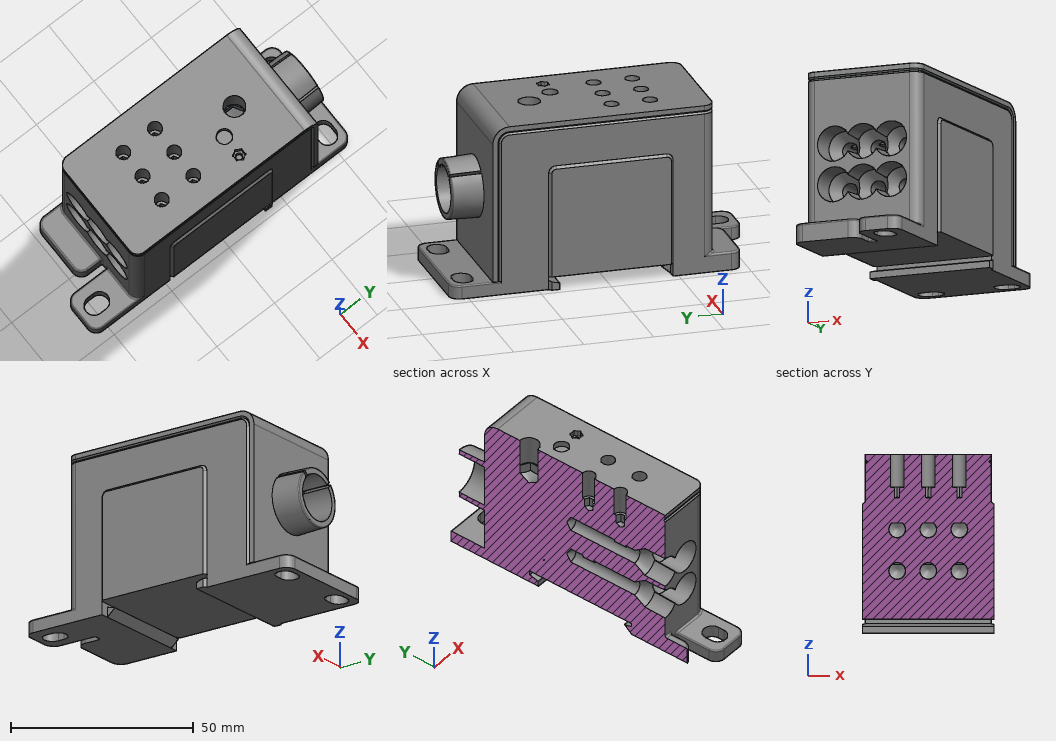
import cadquery as cq
import math


length = 89.5
height = 49.0
body_width = 34.5
body_front = 14.4
body_rear = 77.8
rear_top_radius = 4.7
corner_radius = 2.95

lid_thickness = 1.9
lid_chamfer = 0.45
case_chamfer = 0.5

side_plate_thickness = 0.76
side_plate_front = 26.3
side_plate_rear = 61.8
side_plate_top = 36.1
side_plate_corner = 2.0
side_plate_edge = 0.7

rail_depth = 3.85
rail_front = 26.3
rail_rear = side_plate_rear
rear_hook_reach = 2.95
rear_hook_root_height = 2.7
rear_hook_tip_height = 1.9
front_hook_half_width = 14.8
front_hook_reach = 2.5
front_hook_root_height = 2.95
front_hook_tip_height = 2.2

foot_thickness = rail_depth
foot_edge_radius = 0.4
wide_foot_front = 6.6
wide_foot_right = 2.2
wide_foot_thickness = 5.3
long_foot_left = 4.7
root_fillet = 0.5
foot_overlap = 5.4
selection_margin = 0.1

slot_width = 5.55
slot_length = 7.4
front_slot_x = 10.9
front_slot_y = 5.8
rear_slot_x = 11.5
rear_slot_y = 84.85

collar_height = 25.95
collar_root_diameter = 17.5
collar_end_diameter = 16.9
collar_end = 86.6
collar_bore = 13.5
collar_slit_width = 0.8
collar_edge = 0.3

pitch = 8.5
entry_heights = (28.5, 17.1)
entry_diameter = 9.8
entry_end_diameter = 9.4
entry_depth = 7.2
wire_diameter = 4.5
funnel_depth = 3.6
wire_depth = 22.4

screw_rows = (30.25, 41.3)
screw_hole = 4.0
screw_socket = 2.7
screw_tip_offset = 1.7
main_screw_y = 62.2
main_hole = 6.2
access_depth = 8.95
socket_depth = 2.7
drill_tip_angle = 118.0

marker_x = 5.0
marker_y = 54.8
marker_diameter = 4.5
star_x = 11.55
star_points = 6
star_diameter = 3.7
star_inner_diameter = 2.95
star_pin_hole = 2.0
recess_depth = 1.8

half_width = body_width / 2


def block(x0, x1, y0, y1, z0, z1):
    return cq.Workplane("XY").box(x1 - x0, y1 - y0, z1 - z0, centered=False).translate((x0, y0, z0))


def shell_layer(inset, front, half, bottom=0.0):
    """Housing volume whose top and rear lie `inset` below the outside surface."""
    top = height - inset
    rear = body_rear - inset
    radius = rear_top_radius - inset
    bend = radius * (1 - math.sqrt(0.5))
    layer = (
        cq.Workplane("YZ")
        .moveTo(front, bottom)
        .lineTo(front, top)
        .lineTo(rear - radius, top)
        .threePointArc((rear - bend, top - bend), (rear, top - radius))
        .lineTo(rear, bottom)
        .close()
        .extrude(half, both=True)
    )
    return layer.edges("|Z and <Y").fillet(corner_radius)


def make_housing():
    case = shell_layer(lid_thickness, body_front, half_width)
    case = case.faces(">Z").edges("<Y").chamfer(case_chamfer)
    lid = shell_layer(0.0, body_front, half_width, foot_thickness)
    lid = lid.cut(shell_layer(lid_thickness, body_front - corner_radius, body_width))
    lid = lid.faces("<Y").edges("<Z").chamfer(lid_chamfer)
    return case.union(lid)


def make_side_plates():
    half = half_width + side_plate_thickness
    plate = block(-half, half, side_plate_front, side_plate_rear, rail_depth, side_plate_top)
    plate = plate.edges("|X and >Z").fillet(side_plate_corner)
    rims = plate.faces("<X or >X").edges(">Z")
    return rims.chamfer(side_plate_edge)


def make_foot(x0, x1, y0, y1, thickness, outer_side, edge_radius):
    foot = block(x0, x1, y0, y1, 0, thickness)
    foot = foot.edges("|Z").edges(outer_side).fillet(corner_radius)
    return foot.faces(">Z").edges(outer_side).fillet(edge_radius)


def mounting_slot(x, y, angle):
    return (
        cq.Workplane("XY")
        .center(x, y)
        .slot2D(slot_length, slot_width, angle)
        .extrude(wide_foot_thickness)
    )


def make_hook(profile, half):
    return cq.Workplane("YZ").polyline(profile).close().extrude(half, both=True)


def make_rail_hooks():
    rear_tip = rail_rear - rear_hook_reach
    rear_profile = [
        (rail_rear, 0),
        (rear_tip, 0),
        (rear_tip, rear_hook_tip_height),
        (rail_rear, rear_hook_root_height),
    ]
    front_profile = [
        (rail_front, 0),
        (rail_front + front_hook_reach, front_hook_tip_height),
        (rail_front, front_hook_root_height),
    ]
    rear_hook = make_hook(rear_profile, half_width + side_plate_thickness)
    rear_hook = rear_hook.edges("|Z and >Y").chamfer(side_plate_edge)
    return rear_hook.union(make_hook(front_profile, front_hook_half_width))


def cone(base_radius, tip_radius, depth, origin, direction):
    return cq.Workplane(cq.Solid.makeCone(base_radius, tip_radius, depth, origin, direction))


def cylinder(diameter, depth, origin, direction):
    return cq.Workplane(cq.Solid.makeCylinder(diameter / 2, depth, origin, direction))


def tip_depth(diameter):
    return diameter / 2 / math.tan(math.radians(drill_tip_angle / 2))


def make_collar():
    reach = collar_end - body_rear
    origin = cq.Vector(0, body_rear, collar_height)
    rearward = cq.Vector(0, 1, 0)
    collar = cone(collar_root_diameter / 2, collar_end_diameter / 2, reach, origin, rearward)
    collar = collar.faces(">Y").edges().fillet(collar_edge)
    collar = collar.cut(cylinder(collar_bore, reach, origin, rearward))
    for angle in (-45, 45):
        slit = block(-collar_slit_width / 2, collar_slit_width / 2, 0, reach, 0, collar_root_diameter)
        slit = slit.rotate((0, 0, 0), (0, 1, 0), angle)
        collar = collar.cut(slit.translate(origin.toTuple()))
    return collar


def wire_entry(x, z, screw_y):
    """Drafted entry, funnel and drilled wire bore, with the screw tip left standing in the bore."""
    inward = cq.Vector(0, 1, 0)
    funnel_start = body_front + entry_depth
    bore_start = funnel_start + funnel_depth
    mouth_radius = entry_diameter / 2
    throat_radius = entry_end_diameter / 2
    wire_radius = wire_diameter / 2
    entry = cone(mouth_radius, throat_radius, entry_depth, cq.Vector(x, body_front, z), inward)
    funnel = cone(throat_radius, wire_radius, funnel_depth, cq.Vector(x, funnel_start, z), inward)
    bore = cylinder(wire_diameter, wire_depth, cq.Vector(x, bore_start, z), inward)
    tip_origin = cq.Vector(x, bore_start + wire_depth, z)
    tip = cone(wire_radius, 0, tip_depth(wire_diameter), tip_origin, inward)
    screw_origin = cq.Vector(x, screw_y, z + screw_tip_offset)
    screw = cylinder(screw_hole, wire_radius, screw_origin, cq.Vector(0, 0, 1))
    return entry.union(funnel).union(bore.cut(screw)).union(tip)


def screw_access(x, y, diameter, socket):
    """Round access hole over a hexagon socket (`socket` across corners) with a drilled tip."""
    down = cq.Vector(0, 0, -1)
    seat = height - access_depth
    tip_start = seat - socket_depth
    tip = tip_depth(socket)
    hole = cylinder(diameter, access_depth, cq.Vector(x, y, height), down)
    drilled = cylinder(socket, socket_depth, cq.Vector(x, y, seat), down)
    drilled = drilled.union(cone(socket / 2, 0, tip, cq.Vector(x, y, tip_start), down))
    hexagon = cq.Workplane("XY").polygon(6, socket).extrude(-socket_depth - tip)
    hexagon = hexagon.rotate((0, 0, 0), (0, 0, 1), 30).translate((x, y, seat))
    return hole.union(hexagon.intersect(drilled))


def star_recess():
    surface = cq.Workplane("XY", origin=(star_x, marker_y, height))
    points = []
    for step in range(2 * star_points):
        radius = (star_inner_diameter if step % 2 else star_diameter) / 2
        angle = math.pi * step / star_points
        points.append((radius * math.cos(angle), radius * math.sin(angle)))
    star = surface.polyline(points).close().extrude(-recess_depth)
    return star.union(surface.circle(star_pin_hole / 2).extrude(-2 * recess_depth))


foot_back = body_front + foot_overlap
wide_foot = make_foot(
    -half_width, wide_foot_right, wide_foot_front, foot_back, wide_foot_thickness, "<Y", root_fillet
)
long_foot = make_foot(long_foot_left, half_width, 0, foot_back, foot_thickness, "<Y", foot_edge_radius)
rear_foot = make_foot(-half_width, half_width, rail_rear, length, foot_thickness, ">Y", foot_edge_radius)
result = make_housing().union(wide_foot).union(long_foot).union(rear_foot)

straight_half = half_width - corner_radius + selection_margin
foot_roots = cq.selectors.BoxSelector(
    (-straight_half, body_front - selection_margin, 0),
    (straight_half, body_front + selection_margin, wide_foot_thickness + selection_margin),
)
result = result.edges(foot_roots).fillet(root_fillet)

channel_half = half_width + side_plate_thickness
result = result.cut(block(-channel_half, channel_half, rail_front, rail_rear, 0, rail_depth))
result = result.union(make_side_plates()).union(make_rail_hooks()).union(make_collar())

result = result.cut(mounting_slot(front_slot_x, front_slot_y, 90))
for side in (-1, 1):
    result = result.cut(mounting_slot(side * rear_slot_x, rear_slot_y, 0))

for column in (-1, 0, 1):
    for entry_height, row in zip(entry_heights, screw_rows):
        result = result.cut(wire_entry(column * pitch, entry_height, row))
        result = result.cut(screw_access(column * pitch, row, screw_hole, screw_socket))

result = result.cut(screw_access(0, main_screw_y, main_hole, main_hole))
marker_origin = cq.Vector(marker_x, marker_y, height)
result = result.cut(cylinder(marker_diameter, recess_depth, marker_origin, cq.Vector(0, 0, -1)))
result = result.cut(star_recess())